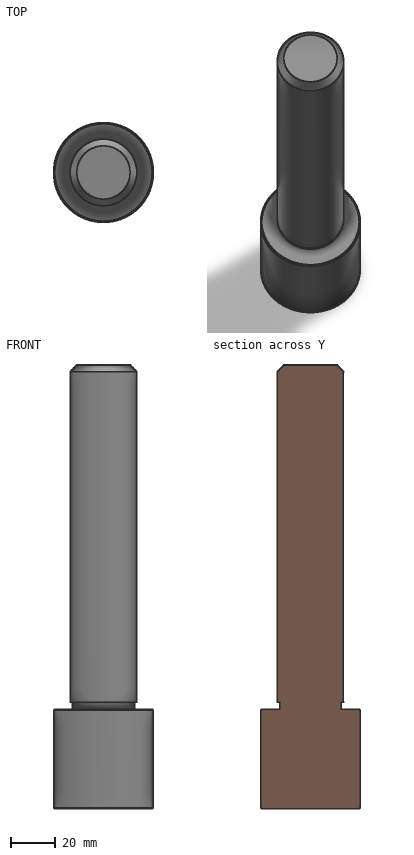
import cadquery as cq

total_length = 200.0
head_diameter = 45.0
head_height = head_diameter
head_edge_break = 0.5
shank_diameter = 30.0
tip_chamfer = 3.0
neck_height = 3.0
neck_depth = 1.0

head_radius = head_diameter / 2
shank_radius = shank_diameter / 2
neck_radius = shank_radius - neck_depth
neck_top = head_height + neck_height

half_section = (
    cq.Workplane("XZ")
    .lineTo(head_radius - head_edge_break, 0)
    .lineTo(head_radius, head_edge_break)
    .lineTo(head_radius, head_height - head_edge_break)
    .lineTo(head_radius - head_edge_break, head_height)
    .lineTo(neck_radius, head_height)
    .lineTo(neck_radius, neck_top)
    .lineTo(shank_radius, neck_top)
    .lineTo(shank_radius, total_length - tip_chamfer)
    .lineTo(shank_radius - tip_chamfer, total_length)
    .lineTo(0, total_length)
    .close()
)

result = half_section.revolve(360, (0, 0, 0), (0, 1, 0))